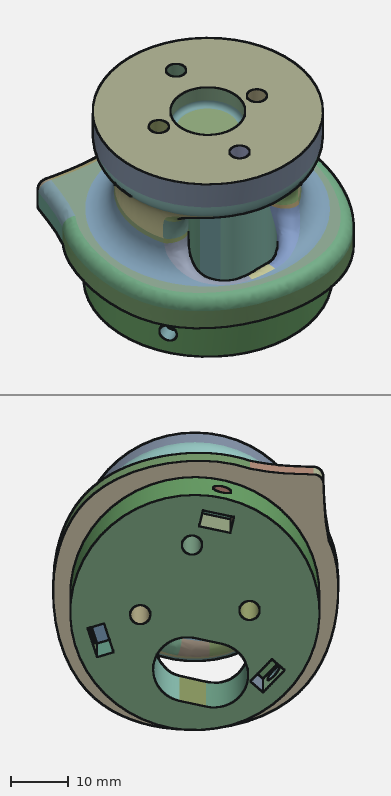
import cadquery as cq
import math

base_top = 9.4
flange_top = 15.45
waist_height = 22.25
total_height = 37.5

base_radius = 21.7
rim_radius = 20.05
waist_radius = 16.0
waist_arc_radius = 10.0
shoulder_radius = 4.5
foot_slope = 10.0
foot_fillet = 5.05

flange_edge_fillet = 2.25
rim_points = [
    (-21.55, 12.45), (-17.45, 17.45), (0, 25.65), (17.45, 17.45), (25.85, -0.3), (17.6, -17.6), (-0.3, -25.5),
    (-17.65, -17.65), (-21.9, -12.7),
]
upper_join = (-23.6, 8.65)
lower_join = (-23.15, -10.3)
upper_join_slope = 60.0
lower_join_slope = -55.0
upper_tip_slope = 48.0
lower_tip_slope = -45.0
tip_x = -30.75
tip_y = -1.3
tip_radius = 1.7

pocket_radius = 5.95
pocket_length = 4.75
pocket_direction = 60.0
pocket_x = 7.4
pocket_y = -8.2
pocket_top = 27.75
pocket_fillet = 3.0
mouth_fillet = 3.0
mouth_clearance = 0.55

recess_radius = 6.5
recess_depth = 4.0
recess_fillet = 1.0
mount_hole_diameter = 3.5
near_mount_radius = 9.5
far_mount_radius = 12.45

screw_angles = (30, 150, 270)
screw_diameter = 3.2
screw_height = 4.4
nut_slot_depth = 3.0
nut_slot_thickness = 3.0
nut_slot_width = 5.55


def polar(radius, degrees):
    angle = math.radians(degrees)
    return radius * math.cos(angle), radius * math.sin(angle)


def offset(point, radius, degrees):
    dx, dy = polar(radius, degrees)
    return point[0] + dx, point[1] + dy


def turned_body():
    """Base, waisted neck and rim as one revolved profile of (radius, height) points."""
    waist_center = (waist_radius + waist_arc_radius, waist_height)

    shoulder_x = rim_radius - shoulder_radius
    reach = waist_arc_radius + shoulder_radius
    rise = math.sqrt(reach**2 - (waist_center[0] - shoulder_x) ** 2)
    shoulder_center = (shoulder_x, waist_height + rise)
    shoulder_angle = math.degrees(math.asin(rise / reach))

    cone_top = offset(waist_center, waist_arc_radius, 180 + foot_slope)
    slope = math.radians(foot_slope)
    cone_bottom_z = flange_top + foot_fillet * (1 - math.sin(slope))
    cone_bottom = (cone_top[0] + (cone_top[1] - cone_bottom_z) * math.tan(slope), cone_bottom_z)
    foot_center = offset(cone_bottom, foot_fillet, foot_slope)

    return (
        cq.Workplane("XZ")
        .lineTo(base_radius, 0)
        .lineTo(base_radius, base_top)
        .lineTo(foot_center[0], base_top)
        .lineTo(foot_center[0], flange_top)
        .threePointArc(offset(foot_center, foot_fillet, 225), cone_bottom)
        .lineTo(*cone_top)
        .threePointArc(
            (waist_radius, waist_height),
            offset(waist_center, waist_arc_radius, 180 - shoulder_angle),
        )
        .threePointArc(
            offset(shoulder_center, shoulder_radius, -shoulder_angle / 2),
            (rim_radius, shoulder_center[1]),
        )
        .lineTo(rim_radius, total_height)
        .lineTo(0, total_height)
        .close()
        .revolve(360, (0, 0, 0), (0, 1, 0))
        .rotate((0, 0, 0), (0, 0, 1), 180)
    )


def pointer_flange():
    """Near-round plate drawn out to a rounded point on the -X side."""
    tip_center = (tip_x + tip_radius, tip_y)
    upper_tip = offset(tip_center, tip_radius, upper_tip_slope + 90)
    lower_tip = offset(tip_center, tip_radius, lower_tip_slope - 90)
    outline = (
        cq.Workplane("XY", origin=(0, 0, base_top))
        .moveTo(*upper_join)
        .spline(rim_points + [lower_join], includeCurrent=True)
        .spline(
            [lower_tip],
            tangents=[polar(1, 180 + lower_join_slope), polar(1, 180 + lower_tip_slope)],
            includeCurrent=True,
        )
        .threePointArc((tip_x, tip_y), upper_tip)
        .spline(
            [upper_join],
            tangents=[polar(1, upper_tip_slope), polar(1, upper_join_slope)],
            includeCurrent=True,
        )
        .close()
    )
    plate = outline.extrude(flange_top - base_top)
    return plate.faces(">Z").edges().fillet(flange_edge_fillet)


def rope_pocket():
    """Upright slot with a domed ceiling, open at the bottom of the part."""
    return (
        cq.Workplane("XY")
        .center(pocket_x, pocket_y)
        .slot2D(pocket_length + 2 * pocket_radius, 2 * pocket_radius, pocket_direction)
        .extrude(pocket_top)
        .faces(">Z")
        .edges()
        .fillet(pocket_fillet)
    )


def top_recess():
    return (
        cq.Workplane("XY", origin=(0, 0, total_height - recess_depth))
        .circle(recess_radius)
        .extrude(recess_depth)
        .faces("<Z")
        .edges()
        .fillet(recess_fillet)
    )


def mount_holes():
    centers = [
        polar(near_mount_radius, 45),
        polar(near_mount_radius, 225),
        polar(far_mount_radius, 135),
        polar(far_mount_radius, 315),
    ]
    return cq.Workplane("XY").pushPoints(centers).circle(mount_hole_diameter / 2).extrude(total_height)


def screw_cut(degrees):
    """Radial screw hole ending in a nut slot that is open at the bottom."""
    slot_outer = base_radius - nut_slot_depth
    slot_inner = slot_outer - nut_slot_thickness
    hole = (
        cq.Workplane("YZ", origin=(slot_inner, 0, screw_height))
        .circle(screw_diameter / 2)
        .extrude(base_radius - slot_inner + 0.55)
    )
    slot = cq.Workplane("XY").box(
        nut_slot_thickness,
        nut_slot_width,
        screw_height + nut_slot_width / 2,
        centered=(False, True, False),
    )
    cut = hole.union(slot.translate((slot_inner, 0, 0)))
    return cut.rotate((0, 0, 0), (0, 0, 1), degrees)


pocket = rope_pocket()

body = turned_body().union(pointer_flange()).cut(pocket)
mouth_rim = body.edges("%BSPLINE").filter(lambda edge: edge.Center().z > flange_top + mouth_clearance)
result = mouth_rim.fillet(mouth_fillet)

result = result.cut(top_recess()).cut(mount_holes())
for angle in screw_angles:
    result = result.cut(screw_cut(angle))